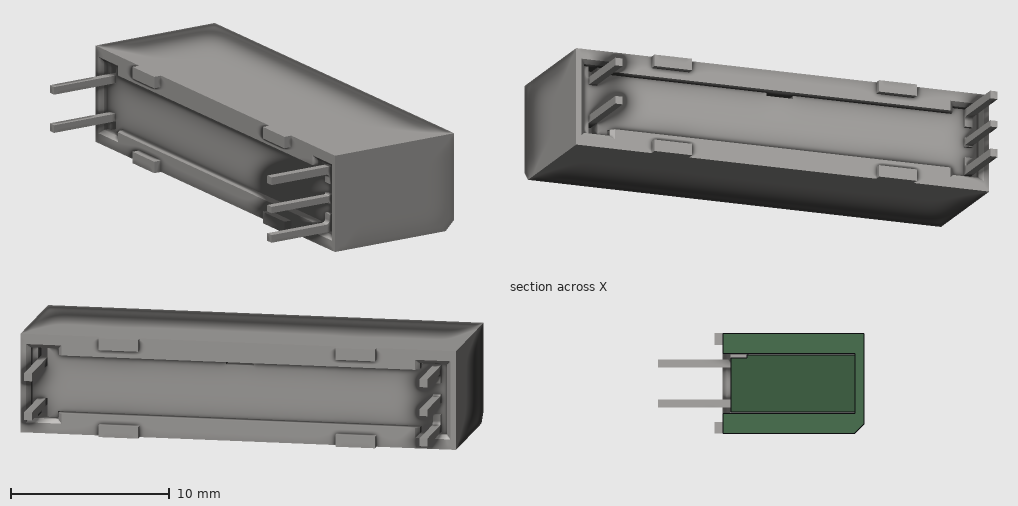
import cadquery as cq

LENGTH = 27.95
HEIGHT = 6.35
DEPTH = 8.9
BACK_CHAMFER = 0.65

FOOT_LENGTH = 2.55
FOOT_HEIGHT = 0.75
FOOT_REACH = 0.5
FOOT_X = 7.6

MIDDLE_HEIGHT = 3.75
BAY_HEIGHT = 4.53
BAY_LENGTH = 1.75
CAVITY_LENGTH = 26.7
RIM_CHAMFER = 0.25
BACK_WALL = (LENGTH - CAVITY_LENGTH) / 2
CAVITY_DEPTH = DEPTH - BACK_WALL
BAY_X = (CAVITY_LENGTH - BAY_LENGTH) / 2

CLEARANCE = 0.05
CORE_FRONT = 0.5
NOTCH_LENGTH = 1.8
NOTCH_HEIGHT = 0.2

PIN_SIZE = 0.5
PIN_REACH = FOOT_REACH + 3.58
PIN_X = 12.68
LEFT_PIN_Z = 1.25
RIGHT_PIN_Z = 1.9
PIN_ROW_INNER_Z = LEFT_PIN_Z - PIN_SIZE / 2
MIDDLE_PIN_HEIGHT = 0.42

LEG_RISE = 0.25
LEG_FRONT = CORE_FRONT - LEG_RISE
OUTER_ROOT_FILLET = 0.25
MIDDLE_ROOT_FILLET = 0.08

SLOT_WIDTH = 0.6
SLOT_END = CORE_FRONT + 2 * PIN_SIZE


def block(x_range, y_range, z_range):
    """Box between the given limits along each axis."""
    spans = (x_range, y_range, z_range)
    sizes = [high - low for low, high in spans]
    corner = tuple(low for low, high in spans)
    return cq.Workplane("XY").box(*sizes, centered=False).translate(corner)


def centred(size, middle=0.0):
    """Limits of a span of the given size about its middle."""
    return (middle - size / 2, middle + size / 2)


def cavity_prism(front, shrink):
    """The cavity outline, moved inward by shrink, from the depth front to the cavity's back."""
    y_range = (front, CAVITY_DEPTH)
    middle_length = CAVITY_LENGTH - BAY_LENGTH
    prism = block(centred(middle_length), y_range, centred(MIDDLE_HEIGHT - 2 * shrink))
    for bay_x in (-BAY_X, BAY_X):
        bay = block(
            centred(BAY_LENGTH - 2 * shrink, bay_x),
            y_range,
            centred(BAY_HEIGHT - 2 * shrink),
        )
        prism = prism.union(bay)
    return prism


def bay_mouth(bay_x):
    """The 45-degree flare where an end bay meets the rim."""
    return (
        cq.Workplane("XZ", origin=(bay_x, 0, 0))
        .rect(BAY_LENGTH + 2 * RIM_CHAMFER, BAY_HEIGHT + 2 * RIM_CHAMFER)
        .extrude(-RIM_CHAMFER, taper=45)
    )


def make_housing():
    body = block(centred(LENGTH), (0, DEPTH), centred(HEIGHT))
    body = body.edges(">Y and <Z").chamfer(BACK_CHAMFER)
    foot_z = (HEIGHT - FOOT_HEIGHT) / 2
    for x in (-FOOT_X, FOOT_X):
        for z in (-foot_z, foot_z):
            foot = block(centred(FOOT_LENGTH, x), (-FOOT_REACH, 0), centred(FOOT_HEIGHT, z))
            body = body.union(foot)
    body = body.cut(cavity_prism(0, 0))
    for bay_x in (-BAY_X, BAY_X):
        body = body.cut(bay_mouth(bay_x))
    return body


def make_outer_pin():
    """Upper right pin, on a leg that runs inward from it, with a rounded inner corner."""
    leg_outer_z = RIGHT_PIN_Z + PIN_SIZE / 2
    pin_inner_z = RIGHT_PIN_Z - PIN_SIZE / 2
    return (
        cq.Workplane("YZ", origin=(PIN_X - PIN_SIZE / 2, 0, 0))
        .moveTo(CORE_FRONT, PIN_ROW_INNER_Z)
        .lineTo(LEG_FRONT, PIN_ROW_INNER_Z)
        .lineTo(LEG_FRONT, pin_inner_z - OUTER_ROOT_FILLET)
        .radiusArc((LEG_FRONT - OUTER_ROOT_FILLET, pin_inner_z), -OUTER_ROOT_FILLET)
        .lineTo(-PIN_REACH, pin_inner_z)
        .lineTo(-PIN_REACH, leg_outer_z)
        .lineTo(CORE_FRONT, leg_outer_z)
        .close()
        .extrude(PIN_SIZE)
    )


def make_middle_pin():
    """Middle right pin, with a small fillet above and below at its root."""
    pin_top = MIDDLE_PIN_HEIGHT / 2
    root_top = pin_top + MIDDLE_ROOT_FILLET
    root_front = LEG_FRONT - MIDDLE_ROOT_FILLET
    return (
        cq.Workplane("YZ", origin=(PIN_X - PIN_SIZE / 2, 0, 0))
        .moveTo(CORE_FRONT, root_top)
        .lineTo(LEG_FRONT, root_top)
        .radiusArc((root_front, pin_top), MIDDLE_ROOT_FILLET)
        .lineTo(-PIN_REACH, pin_top)
        .lineTo(-PIN_REACH, -pin_top)
        .lineTo(root_front, -pin_top)
        .radiusArc((LEG_FRONT, -root_top), MIDDLE_ROOT_FILLET)
        .lineTo(CORE_FRONT, -root_top)
        .close()
        .extrude(PIN_SIZE)
    )


def left_pin_slot(side):
    """Slot that holds a left pin at its inner end and is open at the core's edge."""
    slot_left = -PIN_X - PIN_SIZE / 2
    slot_z = sorted((side * PIN_ROW_INNER_Z, side * BAY_HEIGHT / 2))
    return block((slot_left, slot_left + SLOT_WIDTH), (CORE_FRONT, SLOT_END), slot_z)


def make_core():
    """Notched and slotted core, with the three right pins standing on its front."""
    core = cavity_prism(CORE_FRONT, CLEARANCE)
    core_top = MIDDLE_HEIGHT / 2 - CLEARANCE
    notch_z = (core_top - NOTCH_HEIGHT, core_top)
    core = core.cut(block(centred(NOTCH_LENGTH), (CORE_FRONT, SLOT_END), notch_z))
    for side in (-1, 1):
        core = core.cut(left_pin_slot(side))
    upper_pin = make_outer_pin()
    for pin in (upper_pin, upper_pin.mirror("XY"), make_middle_pin()):
        core = core.union(pin)
    return core


def make_left_pin(side):
    """Straight square pin seated at the end of its slot; side is 1 above and -1 below."""
    return block(
        centred(PIN_SIZE, -PIN_X), (-PIN_REACH, SLOT_END), centred(PIN_SIZE, side * LEFT_PIN_Z)
    )


housing = make_housing()
core = make_core()
left_pins = [make_left_pin(side).val() for side in (-1, 1)]

result = cq.Compound.makeCompound([housing.val(), core.val(), *left_pins])